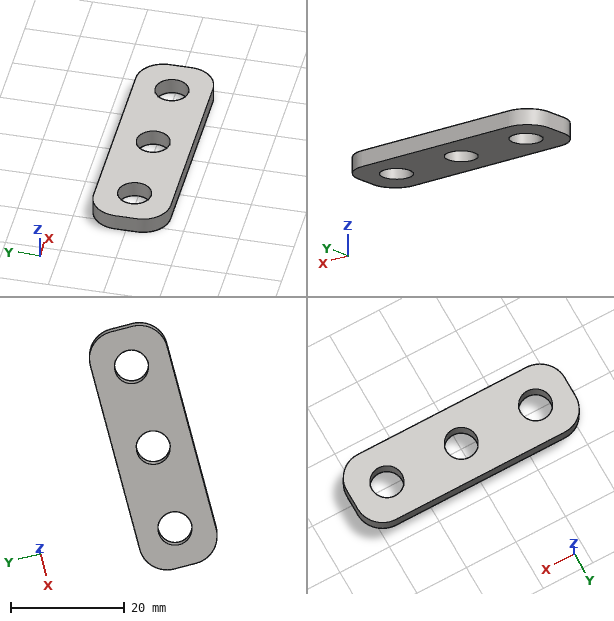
import cadquery as cq

plate_length = 44.0
plate_width = 14.0
plate_thickness = 3.0
corner_radius = 5.0
hole_diameter = 6.0
hole_spacing = 15.0
hole_count = 3


def make_plate():
    """Flat bar with rounded vertical corners."""
    return (
        cq.Workplane("XY")
        .box(plate_length, plate_width, plate_thickness)
        .edges("|Z")
        .fillet(corner_radius)
    )


def drill_hole_row(plate):
    """Row of through holes, centred on the plate along X."""
    return (
        plate.faces(">Z")
        .workplane()
        .rarray(hole_spacing, plate_width, hole_count, 1)
        .hole(hole_diameter)
    )


result = drill_hole_row(make_plate())